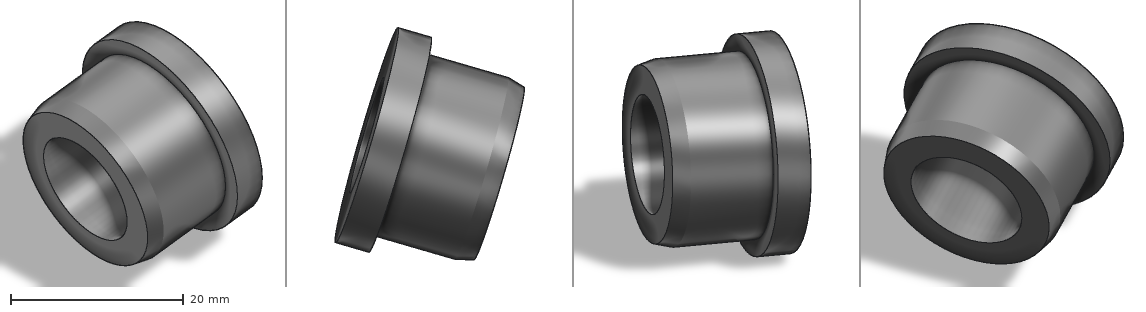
import cadquery as cq
import math

flange_diameter = 26.0
flange_thickness = 4.0
sleeve_diameter = 22.0
bore_diameter = 14.0
total_length = 16.0
lead_in_length = 2.08
lead_in_angle = 15.0

flange_radius = flange_diameter / 2
sleeve_radius = sleeve_diameter / 2
bore_radius = bore_diameter / 2
tip_radius = sleeve_radius - lead_in_length * math.tan(math.radians(lead_in_angle))
flange_shoulder_y = total_length - flange_thickness

half_section = (
    cq.Workplane("XY")
    .moveTo(bore_radius, 0)
    .lineTo(tip_radius, 0)
    .lineTo(sleeve_radius, lead_in_length)
    .lineTo(sleeve_radius, flange_shoulder_y)
    .lineTo(flange_radius, flange_shoulder_y)
    .lineTo(flange_radius, total_length)
    .lineTo(bore_radius, total_length)
    .close()
)

result = half_section.revolve(360, (0, 0, 0), (0, 1, 0))